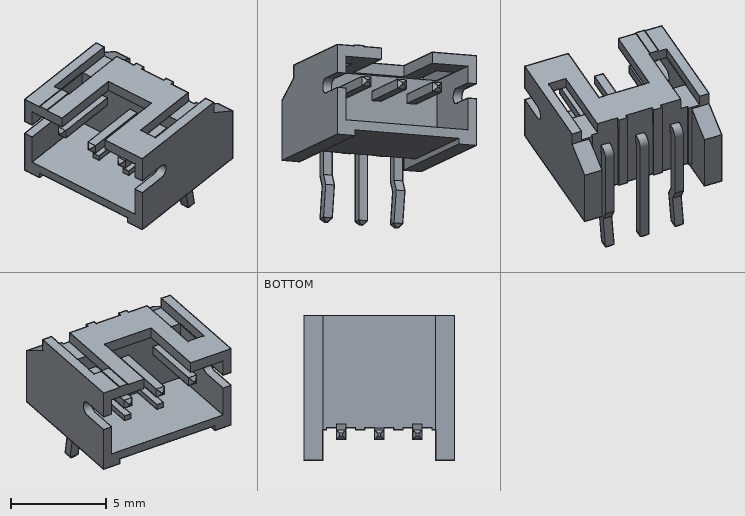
import cadquery as cq

SIDES = (-1, 1)

width = 7.9
depth = 7.6
height = 4.8
wall = 0.5
roof = 0.6
foot_height = 0.3
foot_width = 1.0
floor_top = foot_height + wall
ceiling = height - roof
cavity_depth = 4.2

wing_width = 1.0
wing_step_y = 6.0
wing_step_z = 4.1
wing_rear_z = 3.2
back_wall_width = 5.52
back_wall_top_y = 5.8
back_wall_y = 5.9
back_wall_lean_z = 3.6
tab_width = 0.5

notch_width = 2.88
notch_depth = 3.9
channel_inner_x = 2.4
channel_outer_x = 3.4
channel_front_y = 1.8
slot_bottom_z = 2.5
slot_top_z = 3.3
slot_depth = 2.0

rib_width = 0.4
rib_height = 0.3
rib_front_y = 2.3
mark_width = 0.5
mark_height = 0.05
mark_length = channel_front_y
mark_x = -2.7

pitch = 2.0
pin_size = 0.5
pin_z = 3.1
pin_front_y = 0.5
pin_tip_length = 0.2
pin_tip_size = 0.1
leg_rear_y = 6.5
leg_bottom_z = -3.4
leg_tip_length = 0.2
leg_tip_size = 0.15
kink_start_z = -0.92
kink_peak_z = -1.5
kink_offset = 0.3


def block(x_range, y_range, z_range):
    """Axis-aligned box between the given limits."""
    (x0, x1), (y0, y1), (z0, z1) = x_range, y_range, z_range
    return cq.Workplane("XY").box(x1 - x0, y1 - y0, z1 - z0, centered=False).translate((x0, y0, z0))


def centred(x, size):
    """X limits of a feature of the given width centred on x."""
    return (x - size / 2, x + size / 2)


def extrude_profile(points, x, size):
    """Prism with a (Y, Z) outline and the given width centred on x."""
    return cq.Workplane("YZ").polyline(points).close().extrude(size / 2, both=True).translate((x, 0, 0))


def make_shell():
    """Side profile with sloped wings, cleared between the wings, the feet and inside."""
    shell = extrude_profile(
        [
            (0, 0),
            (depth, 0),
            (depth, wing_rear_z),
            (wing_step_y, wing_step_z),
            (wing_step_y, height),
            (0, height),
        ],
        0,
        width,
    )
    inner_width = width - 2 * wing_width
    shell = shell.cut(block(centred(0, inner_width), (wing_step_y, depth), (0, height)))
    shell = shell.cut(block(centred(0, width - 2 * foot_width), (0, depth), (0, foot_height)))
    return shell.cut(block(centred(0, width - 2 * wall), (0, cavity_depth), (floor_top, ceiling)))


def make_back_recess():
    """Space behind the leaning back wall, leaving the tabs that stand between the pins."""
    recess = extrude_profile(
        [
            (back_wall_y, foot_height),
            (wing_step_y, foot_height),
            (wing_step_y, height),
            (back_wall_top_y, height),
            (back_wall_y, back_wall_lean_z),
        ],
        0,
        back_wall_width,
    )
    for side in SIDES:
        tab_x = centred(side * pitch / 2, tab_width)
        recess = recess.cut(block(tab_x, (back_wall_top_y, wing_step_y), (foot_height, height)))
    return recess


def make_channel(side):
    """Roof channel beside the side wall, open to the rear and into the cavity."""
    x_range = sorted((side * channel_inner_x, side * channel_outer_x))
    return block(x_range, (channel_front_y, wing_step_y), (ceiling, height))


def make_side_slots():
    """Round-ended slot through both side walls, open at the front."""
    radius = (slot_top_z - slot_bottom_z) / 2
    centre_y = slot_depth - radius
    return (
        cq.Workplane("YZ")
        .moveTo(0, slot_bottom_z)
        .lineTo(centre_y, slot_bottom_z)
        .threePointArc((slot_depth, slot_bottom_z + radius), (centre_y, slot_top_z))
        .lineTo(0, slot_top_z)
        .close()
        .extrude(width / 2, both=True)
    )


def make_housing():
    """Shell with all cut-outs, floor ribs and the orientation mark."""
    housing = make_shell().cut(make_back_recess()).cut(make_side_slots())
    housing = housing.cut(block(centred(0, notch_width), (0, notch_depth), (ceiling, height)))
    for side in SIDES:
        housing = housing.cut(make_channel(side))
        rib_x = centred(side * pitch / 2, rib_width)
        rib_z = (floor_top, floor_top + rib_height)
        housing = housing.union(block(rib_x, (rib_front_y, cavity_depth), rib_z))
    mark = block(centred(mark_x, mark_width), (0, mark_length), (height, height + mark_height))
    return housing.union(mark)


def make_tip(direction, origin, length, end_size):
    """Blunt pyramid growing in the given direction from a pin's square end."""
    return (
        cq.Workplane(cq.Plane(origin, (1, 0, 0), direction))
        .rect(pin_size, pin_size)
        .workplane(offset=length)
        .rect(end_size, end_size)
        .loft(ruled=True)
    )


def make_pin(x, offset):
    """Right-angle pin; its leg steps forward by the offset at the kink and returns to the tip."""
    bottom_z = pin_z - pin_size / 2
    top_z = pin_z + pin_size / 2
    leg_front_y = leg_rear_y - pin_size
    contact_y = pin_front_y + pin_tip_length
    leg_end_z = leg_bottom_z + leg_tip_length

    contact = block(centred(x, pin_size), (contact_y, leg_front_y), (bottom_z, top_z))
    elbow = (
        cq.Workplane("YZ")
        .moveTo(leg_front_y, bottom_z)
        .lineTo(leg_rear_y, bottom_z)
        .radiusArc((leg_front_y, top_z), -pin_size)
        .close()
        .extrude(pin_size / 2, both=True)
        .translate((x, 0, 0))
    )
    leg = extrude_profile(
        [
            (leg_front_y, bottom_z),
            (leg_front_y, kink_start_z),
            (leg_front_y - offset, kink_peak_z),
            (leg_front_y, leg_end_z),
            (leg_rear_y, leg_end_z),
            (leg_rear_y - offset, kink_peak_z),
            (leg_rear_y, kink_start_z),
            (leg_rear_y, bottom_z),
        ],
        x,
        pin_size,
    )
    contact_tip = make_tip((0, -1, 0), (x, contact_y, pin_z), pin_tip_length, pin_tip_size)
    leg_centre_y = leg_rear_y - pin_size / 2
    leg_tip = make_tip((0, 0, -1), (x, leg_centre_y, leg_end_z), leg_tip_length, leg_tip_size)
    return contact.union(elbow).union(leg).union(contact_tip).union(leg_tip)


result = make_housing()
result = result.union(make_pin(0, 0))
for side in SIDES:
    result = result.union(make_pin(side * pitch, kink_offset))
result = result.clean()